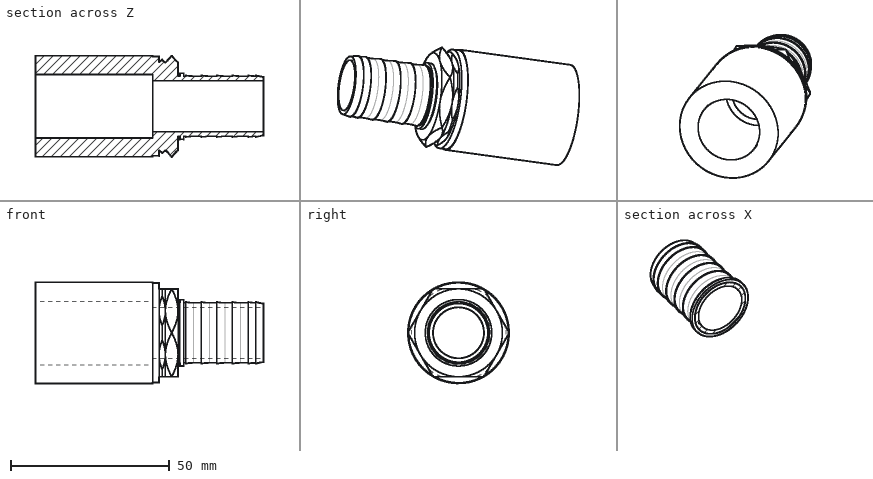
import cadquery as cq
import math

sleeve_end = 37.0
shoulder_end = 39.0
small_hex_width = 2.0
large_hex_width = 4.0
small_hex_end = shoulder_end + small_hex_width
large_hex_end = small_hex_end + large_hex_width
collar_gap = 0.6
collar_start = large_hex_end + collar_gap
collar_width = 1.2
total_length = 72.0

sleeve_radius = 16.0
shoulder_radius = 15.75
collar_radius = 10.5
stem_radius = 9.5
bore_radius = 8.0
socket_radius = 10.0
socket_depth = sleeve_end

hex_sides = 6
hex_corner_radius = 16.0
hex_apothem = hex_corner_radius * math.cos(math.pi / hex_sides)
small_hex_ridge_radius = 14.85

barb_radius = 9.75
barb_count = 5
first_barb_start = 47.4
barb_pitch = (total_length - first_barb_start) / barb_count
barb_length = barb_pitch / 2
tip_start = total_length - barb_length
tip_radius = 9.25


def cone(start, end, start_radius, end_radius):
    """Solid of revolution about X whose radius changes evenly from start to end."""
    outline = [(start, 0), (start, start_radius), (end, end_radius), (end, 0)]
    return cq.Workplane("XY").polyline(outline).close().revolve(360, (0, 0), (1, 0))


def cylinder(start, end, radius):
    return cone(start, end, radius, radius)


def coned_hexagon(start, width, ridge_radius):
    """Hexagon with flats facing +Z and -Z, coned from the inscribed circle at each end to a mid ridge."""
    middle = start + width / 2
    end = start + width
    base = cq.Workplane("YZ", origin=(start, 0, 0)).polygon(hex_sides, 2 * hex_corner_radius)
    prism = base.extrude(width)
    double_cone = cone(start, middle, hex_apothem, ridge_radius).union(
        cone(middle, end, ridge_radius, hex_apothem)
    )
    return prism.intersect(double_cone)


def sleeve():
    body = cylinder(0, sleeve_end, sleeve_radius)
    return body.union(cylinder(sleeve_end, shoulder_end, shoulder_radius))


def hexagons():
    small = coned_hexagon(shoulder_end, small_hex_width, small_hex_ridge_radius)
    large = coned_hexagon(small_hex_end, large_hex_width, hex_corner_radius)
    return small.union(large)


def barbed_stem():
    stem = cylinder(large_hex_end, tip_start, stem_radius)
    stem = stem.union(cylinder(collar_start, collar_start + collar_width, collar_radius))
    for index in range(barb_count):
        start = first_barb_start + index * barb_pitch
        stem = stem.union(cone(start, start + barb_length, barb_radius, stem_radius))
    return stem.union(cone(tip_start, total_length, barb_radius, tip_radius))


def passage():
    """Through bore with a wider socket at the sleeve end."""
    return cylinder(0, total_length, bore_radius).union(cylinder(0, socket_depth, socket_radius))


result = sleeve().union(hexagons()).union(barbed_stem()).cut(passage())